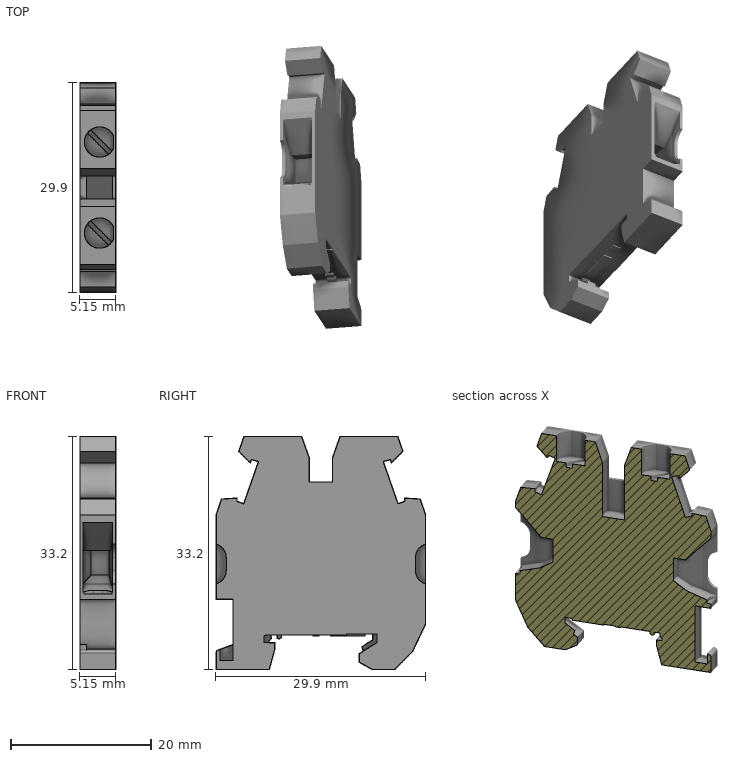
import cadquery as cq
import math

thickness = 5.15
length = 29.9
height = 33.25
half_length = length / 2

head_inner_y = 2.73
head_outer_y = 10.97
trough_half_width = 1.63
trough_floor_z = 26.75
trough_pocket_x = (0.93, 4.7)
trough_pocket_depth = 5.0

recess_back_y = 7.98
recess_front_y = -8.1
recess_roof_z = 4.92
recess_step_y = 3.65
recess_step_z = 5.05
recess_corner_radius = 0.25
catch_top_z = 3.85

shoulder_z = 10.0
foot_wall_y = -12.55
foot_ramp_top_z = 3.6
foot_lip_z = 2.7
lip_radius = 0.45
lip_thickness = 0.6
foot_rib_width = 0.93
foot_pocket_floor_z = 1.33

screw_y = 6.5
screw_x = 2.83
well_radius = 2.15
well_flat_x = 4.82
well_depth = 4.0
slot_width = 0.65
slot_depth = 0.65
slot_angle = -45.0

funnel_left_x = 0.45
funnel_right_x = 4.7
funnel_top_z = 21.0
funnel_bottom_z = 11.1
funnel_depth = 5.72
throat_ceiling_depth = 3.92
throat_floor_depth = 3.72
left_taper_depth = 3.7
right_taper_depth = 2.13
throat_ceiling_z = 16.95
throat_floor_z = 12.25
back_wall_bottom_z = 13.45
back_wall_x = (1.55, 4.15)

window_z = (12.25, 17.9)
window_flat = 1.8
window_depth = 1.45
lip_scoop_x = (0.6, 4.6)
lip_scoop_flat = 1.33
lip_scoop_depth = 0.63
lip_scoop_floor_z = 10.77

insert_x = (1.93, 3.23)


def prism_along_x(points, x_start, x_end):
    """Extrude a (y, z) outline between two X positions."""
    plane = cq.Workplane("YZ").workplane(offset=x_start)
    return plane.polyline(points).close().extrude(x_end - x_start)


def box_between(x_range, y_range, z_range):
    """Box spanning the given ranges."""
    sizes = [high - low for low, high in (x_range, y_range, z_range)]
    corner = (x_range[0], y_range[0], z_range[0])
    return cq.Workplane("XY").box(*sizes, centered=False).translate(corner)


def body():
    """Plate with the full side outline."""
    upper_half = [
        (half_length, 22.08),
        (14.15, 24.35),
        (11.95, 24.47),
        (11.95, 24.0),
        (11.0, 23.67),
        (8.9, 29.65),
        (9.9, 29.92),
        (10.05, 29.45),
        (11.7, 31.12),
        (head_outer_y, height),
        (head_inner_y, height),
        (trough_half_width, 30.15),
        (trough_half_width, trough_floor_z),
    ]
    mirrored_half = [(-y, z) for y, z in reversed(upper_half)]
    foot = [
        (-half_length, shoulder_z),
        (foot_wall_y, shoulder_z),
        (foot_wall_y, foot_ramp_top_z),
        (-half_length, foot_lip_z),
        (-half_length, 0),
        (-7.35, 0),
        (-6.55, 2.93),
        (-6.55, catch_top_z),
        (recess_front_y, catch_top_z),
    ]
    recess_roof = [
        (recess_front_y, recess_roof_z),
        (recess_step_y, recess_roof_z),
        (recess_step_y, recess_step_z),
        (recess_back_y, recess_step_z),
    ]
    hook = [
        (recess_back_y, catch_top_z),
        (5.45, 2.3),
        (5.45, 1.05),
        (7.35, 0),
        (10.5, 0),
        (13.1, 2.63),
        (14.15, 4.85),
        (half_length, 6.52),
    ]
    plate = prism_along_x(upper_half + mirrored_half + foot + recess_roof + hook, 0, thickness)

    def edge_at(y, z):
        middle = cq.Vector(thickness / 2, y, z)
        return cq.selectors.NearestToPointSelector(middle)

    plate = plate.edges("|X").edges(edge_at(-half_length, foot_lip_z)).fillet(lip_radius)
    return plate.edges("|X").edges(edge_at(recess_front_y, recess_roof_z)).fillet(recess_corner_radius)


def foot_pocket():
    """Pocket between the foot's lip and its wall, leaving the ramp as a rib at -X."""
    lip_inner_y = -half_length + lip_thickness
    return box_between(
        (foot_rib_width, thickness),
        (lip_inner_y, foot_wall_y),
        (foot_pocket_floor_z, foot_ramp_top_z),
    )


def trough_pocket():
    """Deep pocket in the trough floor, as wide as the trough."""
    return box_between(
        trough_pocket_x,
        (-trough_half_width, trough_half_width),
        (trough_floor_z - trough_pocket_depth, trough_floor_z),
    )


def screw_well(y):
    """D-shaped well down to the screw head, with the driver slot cut into the head."""
    head_z = height - well_depth
    well_height = well_depth + slot_depth
    shaft = (
        cq.Workplane("XY", origin=(screw_x, y, head_z - slot_depth))
        .circle(well_radius)
        .extrude(well_height)
        .intersect(box_between((0, well_flat_x), (-half_length, half_length), (0, height)))
    )
    slot = (
        cq.Workplane("XY")
        .box(2 * well_radius, slot_width, slot_depth, centered=(True, True, False))
        .rotate((0, 0, 0), (0, 0, 1), slot_angle)
        .translate((screw_x, y, head_z - slot_depth))
    )
    above_head = box_between((0, thickness), (-half_length, half_length), (head_z, height))
    return shaft.intersect(above_head.union(slot))


def scoop_outline(plane, start, end, flat, depth):
    """Arc, flat and arc sinking to +Y between two places on the front end face.

    The arcs are tangent to the flat; the plane's first axis runs along the face, its second along +Y.
    """
    middle = (start + end) / 2
    arc_span = (end - start - flat) / 2
    radius = (depth**2 + arc_span**2) / (2 * depth)
    half_sweep = math.asin(arc_span / radius) / 2
    bulge_along = flat / 2 + radius * math.sin(half_sweep)
    bulge_y = -half_length + depth - radius * (1 - math.cos(half_sweep))
    flat_y = -half_length + depth
    return (
        plane.moveTo(start, -half_length)
        .threePointArc((middle - bulge_along, bulge_y), (middle - flat / 2, flat_y))
        .lineTo(middle + flat / 2, flat_y)
        .threePointArc((middle + bulge_along, bulge_y), (end, -half_length))
        .close()
    )


def wire_funnel():
    """Tapering wire entry in the front end face, with its scooped lip and side window."""
    side_outline = [
        (0, funnel_top_z),
        (throat_ceiling_depth, throat_ceiling_z),
        (funnel_depth, throat_ceiling_z),
        (funnel_depth, back_wall_bottom_z),
        (throat_floor_depth, throat_floor_z),
        (0, funnel_bottom_z),
    ]
    plan_outline = [
        (funnel_left_x, 0),
        (funnel_left_x, left_taper_depth),
        (back_wall_x[0], funnel_depth),
        (back_wall_x[1], funnel_depth),
        (funnel_right_x, right_taper_depth),
        (funnel_right_x, 0),
    ]
    plan_prism = cq.Workplane("XY").polyline(plan_outline).close().extrude(height)
    funnel = prism_along_x(side_outline, 0, thickness).intersect(plan_prism)
    funnel = funnel.translate((0, -half_length, 0))

    lip_plane = cq.Workplane("XY", origin=(0, 0, lip_scoop_floor_z))
    lip_scoop = scoop_outline(lip_plane, *lip_scoop_x, lip_scoop_flat, lip_scoop_depth)
    funnel = funnel.union(lip_scoop.extrude(throat_floor_z - lip_scoop_floor_z))

    window_plane = cq.Workplane(cq.Plane(origin=(thickness, 0, 0), xDir=(0, 0, 1), normal=(-1, 0, 0)))
    window = scoop_outline(window_plane, *window_z, window_flat, window_depth)
    return funnel.union(window.extrude(thickness - funnel_right_x))


def recess_insert():
    """Narrow liner, pads and stop in the rail recess, at mid thickness."""
    liner = [
        (recess_back_y, recess_step_z),
        (7.38, recess_step_z),
        (7.38, 4.25),
        (5.9, 3.3),
        (5.9, 3.05),
        (6.1, 2.65),
        (recess_back_y, catch_top_z),
    ]
    long_pad = [(6.32, 5.05), (6.32, 4.8), (1.4, 4.8), (1.4, 5.05)]
    short_pad = [(-0.3, 5.05), (-0.3, 4.8), (-1.13, 4.8), (-1.13, 5.05)]
    stop = [(-5.6, 5.05), (-5.6, 4.6), (-5.92, 4.4), (-6.25, 4.45), (-6.25, 5.05)]
    corner_block = [
        (-7.1, 5.05),
        (-7.05, 4.45),
        (-7.38, 4.12),
        (-7.38, catch_top_z),
        (recess_front_y, catch_top_z),
        (recess_front_y, 5.05),
    ]
    pieces = cq.Workplane("XY")
    for outline in (liner, long_pad, short_pad, stop, corner_block):
        pieces = pieces.add(prism_along_x(outline, *insert_x))
    return pieces.combine()


result = body().cut(foot_pocket()).cut(trough_pocket())
for well_y in (-screw_y, screw_y):
    result = result.cut(screw_well(well_y))

front_funnel = wire_funnel()
result = result.cut(front_funnel).cut(front_funnel.mirror("XZ"))
result = result.union(recess_insert())